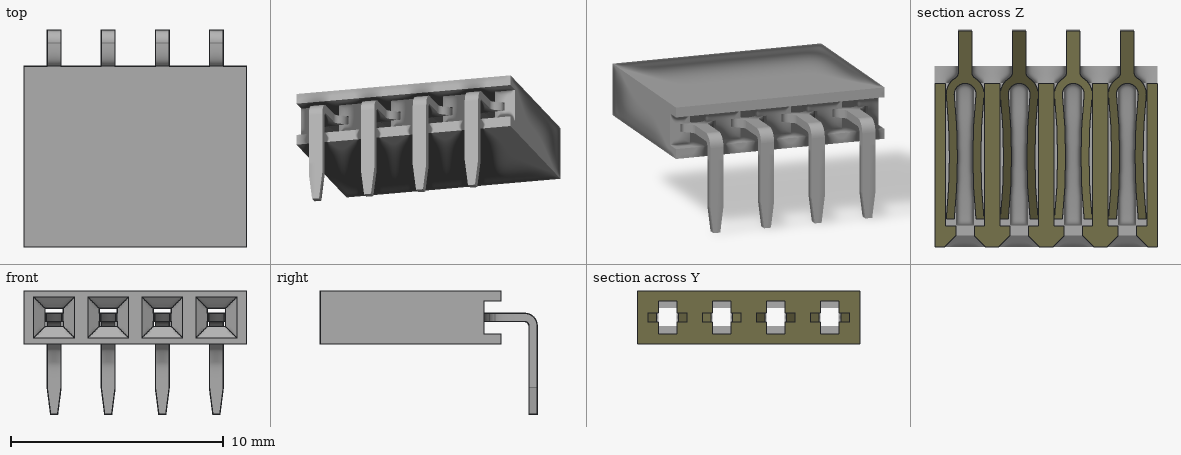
import cadquery as cq
import math

CONTACT_COUNT = 4
PITCH = 2.54
CONTACT_XS = [(i - (CONTACT_COUNT - 1) / 2) * PITCH for i in range(CONTACT_COUNT)]

HOUSING_WIDTH = 10.46
HOUSING_DEPTH = 8.5
HOUSING_HEIGHT = 2.5
REAR_SLOT_DEPTH = 0.8
REAR_SLOT_HEIGHT = 1.54
SLOT_FLOOR_Y = HOUSING_DEPTH - REAR_SLOT_DEPTH

ENTRY_SIZE = 1.92
ENTRY_DEPTH = 0.54
THROAT_SIZE = 0.84
THROAT_LENGTH = 0.46
CAVITY_START_Y = ENTRY_DEPTH + THROAT_LENGTH

STOCK_THICKNESS = 0.4
RING_INNER_RADIUS = 0.5
TINE_WIDTH = 0.4
RING_OUTER_RADIUS = RING_INNER_RADIUS + TINE_WIDTH
FORK_WIDTH = 2 * RING_OUTER_RADIUS
CONTACT_GAP = 0.7
TIP_CLEARANCE = 0.3
TINE_TIP_Y = CAVITY_START_Y + TIP_CLEARANCE
TAIL_WIDTH = 0.66
TAIL_TIP_WIDTH = 0.34
TAIL_TAPER_LENGTH = 1.25
TAIL_REACH = 1.7
TAIL_DROP = 3.3
BEND_INNER_RADIUS = 0.2
BEND_OUTER_RADIUS = BEND_INNER_RADIUS + STOCK_THICKNESS
NECK_FILLET_RADIUS = 0.3
NECK_OFFSET = 0.5
NECK_FILLET_START_Y = SLOT_FLOOR_Y + NECK_OFFSET

NECK_CENTER_X = TAIL_WIDTH / 2 + NECK_FILLET_RADIUS
NECK_CENTER_DISTANCE = RING_OUTER_RADIUS + NECK_FILLET_RADIUS
NECK_ANGLE = math.acos(NECK_CENTER_X / NECK_CENTER_DISTANCE)
RING_Y = NECK_FILLET_START_Y - NECK_CENTER_DISTANCE * math.sin(NECK_ANGLE)

TAIL_REAR_Y = HOUSING_DEPTH + TAIL_REACH
TAIL_FRONT_Y = TAIL_REAR_Y - STOCK_THICKNESS
TAIL_TIP_Z = -HOUSING_HEIGHT / 2 - TAIL_DROP


def centered_box(x, width, y_start, y_end, height):
    """Box centred on x and Z = 0, running between two Y positions."""
    length = y_end - y_start
    return cq.Workplane("XY").box(width, length, height).translate((x, y_start + length / 2, 0))


def socket_cutter(x):
    """Tapered entry, throat, tall cavity and flat fork pocket of one socket."""
    entry = (
        cq.Workplane("XZ", origin=(x, 0, 0))
        .rect(ENTRY_SIZE, ENTRY_SIZE)
        .workplane(offset=-ENTRY_DEPTH)
        .rect(THROAT_SIZE, THROAT_SIZE)
        .loft(ruled=True)
    )
    throat = centered_box(x, THROAT_SIZE, ENTRY_DEPTH, CAVITY_START_Y, THROAT_SIZE)
    cavity = centered_box(x, THROAT_SIZE, CAVITY_START_Y, SLOT_FLOOR_Y, REAR_SLOT_HEIGHT)
    fork_pocket = centered_box(x, FORK_WIDTH, CAVITY_START_Y, SLOT_FLOOR_Y, STOCK_THICKNESS)
    return entry.union(throat).union(cavity).union(fork_pocket)


def make_housing():
    """Block with a slot across its rear face and one through socket per contact."""
    body = centered_box(0, HOUSING_WIDTH, 0, HOUSING_DEPTH, HOUSING_HEIGHT)
    body = body.cut(centered_box(0, HOUSING_WIDTH, SLOT_FLOOR_Y, HOUSING_DEPTH, REAR_SLOT_HEIGHT))
    for x in CONTACT_XS:
        body = body.cut(socket_cutter(x))
    return body


def tine(side):
    """Tine bowed inwards to the contact gap; side is -1 or 1."""
    inner_bow = CONTACT_GAP / 2
    outer_bow = inner_bow + TINE_WIDTH
    bow_y = (RING_Y + TINE_TIP_Y) / 2
    return (
        cq.Workplane("XY", origin=(0, 0, -STOCK_THICKNESS / 2))
        .moveTo(side * RING_INNER_RADIUS, RING_Y)
        .threePointArc((side * inner_bow, bow_y), (side * RING_INNER_RADIUS, TINE_TIP_Y))
        .lineTo(side * RING_OUTER_RADIUS, TINE_TIP_Y)
        .threePointArc((side * outer_bow, bow_y), (side * RING_OUTER_RADIUS, RING_Y))
        .close()
        .extrude(STOCK_THICKNESS)
    )


def point_on_arc(center, radius, angle):
    """Point at an angle measured from +X around the given centre."""
    return (center[0] + radius * math.cos(angle), center[1] + radius * math.sin(angle))


def root_and_tail_strip():
    """Half-round root blended by neck fillets into the straight tail strip."""
    half_tail = TAIL_WIDTH / 2
    ring_center = (0, RING_Y)
    neck_center = (NECK_CENTER_X, NECK_FILLET_START_Y)
    ring_middle = point_on_arc(ring_center, RING_OUTER_RADIUS, NECK_ANGLE / 2)
    ring_end = point_on_arc(ring_center, RING_OUTER_RADIUS, NECK_ANGLE)
    neck_middle = point_on_arc(neck_center, NECK_FILLET_RADIUS, math.pi + NECK_ANGLE / 2)
    half_strip = (
        cq.Workplane("XY", origin=(0, 0, -STOCK_THICKNESS / 2))
        .moveTo(RING_INNER_RADIUS, RING_Y)
        .lineTo(RING_OUTER_RADIUS, RING_Y)
        .threePointArc(ring_middle, ring_end)
        .threePointArc(neck_middle, (half_tail, NECK_FILLET_START_Y))
        .lineTo(half_tail, TAIL_REAR_Y)
        .lineTo(0, TAIL_REAR_Y)
        .lineTo(0, RING_Y + RING_INNER_RADIUS)
        .threePointArc(
            point_on_arc(ring_center, RING_INNER_RADIUS, math.pi / 4),
            (RING_INNER_RADIUS, RING_Y),
        )
        .close()
        .extrude(STOCK_THICKNESS)
    )
    return half_strip.union(half_strip.mirror("YZ")).clean()


def tail_leg():
    """Vertical leg narrowing to its tip."""
    half_tail = TAIL_WIDTH / 2
    half_tip = TAIL_TIP_WIDTH / 2
    taper_z = TAIL_TIP_Z + TAIL_TAPER_LENGTH
    return (
        cq.Workplane("XZ", origin=(0, TAIL_REAR_Y, 0))
        .moveTo(-half_tail, STOCK_THICKNESS / 2)
        .lineTo(-half_tail, taper_z)
        .lineTo(-half_tip, TAIL_TIP_Z)
        .lineTo(half_tip, TAIL_TIP_Z)
        .lineTo(half_tail, taper_z)
        .lineTo(half_tail, STOCK_THICKNESS / 2)
        .close()
        .extrude(STOCK_THICKNESS)
    )


def bend_edge(y, z):
    """Selector for the bend edge that runs along X at the given corner."""
    margin = STOCK_THICKNESS / 4
    return cq.selectors.BoxSelector(
        (-TAIL_WIDTH, y - margin, z - margin),
        (TAIL_WIDTH, y + margin, z + margin),
    )


def make_contact():
    """One fork contact with its bent tail, centred on X = 0."""
    contact = root_and_tail_strip().union(tail_leg()).union(tine(-1)).union(tine(1))
    inner_corner = bend_edge(TAIL_FRONT_Y, -STOCK_THICKNESS / 2)
    outer_corner = bend_edge(TAIL_REAR_Y, STOCK_THICKNESS / 2)
    contact = contact.edges("|X").edges(inner_corner).fillet(BEND_INNER_RADIUS)
    return contact.edges("|X").edges(outer_corner).fillet(BEND_OUTER_RADIUS)


housing = make_housing()
contact = make_contact()
contacts = [contact.translate((x, 0, 0)) for x in CONTACT_XS]

result = cq.Compound.makeCompound([housing.val(), *[placed.val() for placed in contacts]])